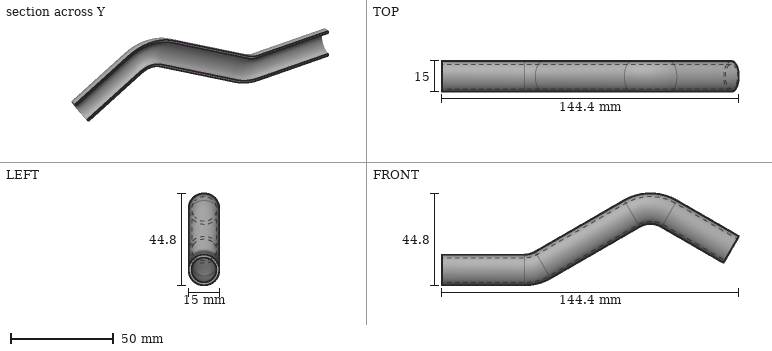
import cadquery as cq
import math

outer_diameter = 15.0
inner_diameter = 12.0

inlet_length = 40.0
middle_length = 50.0
outlet_length = 35.0
bend_radius = 18.0
slope = 30.0


def advance(point, length, angle):
    """Point reached by going straight from point at an angle above +X."""
    direction = math.radians(angle)
    return (point[0] + length * math.cos(direction), point[1] + length * math.sin(direction))


def bend_points(start, start_angle, end_angle):
    """Mid point and end point of the bend that turns from start_angle to end_angle."""
    turn_side = 90.0 if end_angle > start_angle else -90.0
    centre = advance(start, bend_radius, start_angle + turn_side)
    mid_angle = (start_angle + end_angle) / 2
    mid = advance(centre, bend_radius, mid_angle - turn_side)
    end = advance(centre, bend_radius, end_angle - turn_side)
    return mid, end


def centreline():
    """Path of the tube axis, starting at the origin along +X."""
    first_start = (inlet_length, 0.0)
    first_mid, first_end = bend_points(first_start, 0.0, slope)
    second_start = advance(first_end, middle_length, slope)
    second_mid, second_end = bend_points(second_start, slope, -slope)
    outlet_end = advance(second_end, outlet_length, -slope)
    return (
        cq.Workplane("XZ")
        .lineTo(*first_start)
        .threePointArc(first_mid, first_end)
        .lineTo(*second_start)
        .threePointArc(second_mid, second_end)
        .lineTo(*outlet_end)
    )


def bent_tube():
    """Annular section swept along the centreline, open at both ends."""
    section = cq.Workplane("YZ").circle(outer_diameter / 2).circle(inner_diameter / 2)
    return section.sweep(centreline())


result = bent_tube()